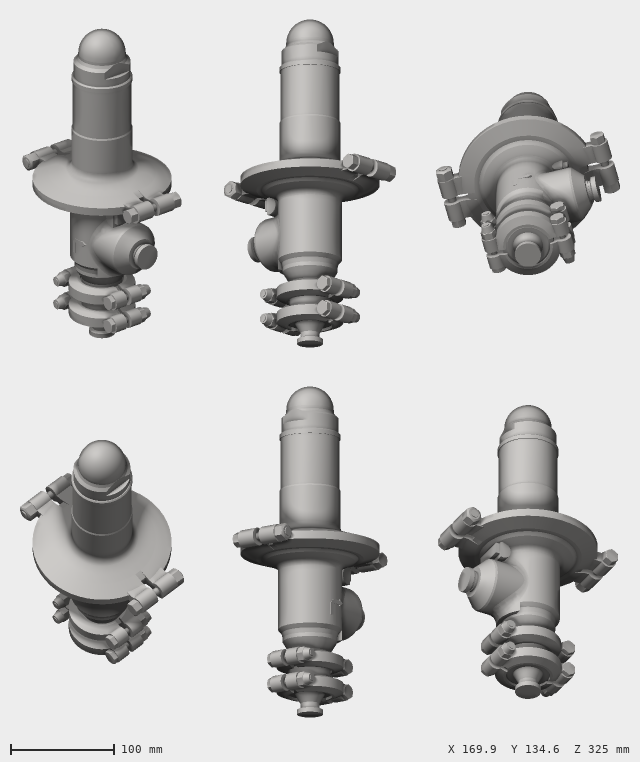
import cadquery as cq
import math


TOTAL_HEIGHT = 325.0

DOME_RADIUS = 23.0
DOME_BASE_Z = TOTAL_HEIGHT - DOME_RADIUS
NUT_CONE_TOP_Z = 299.0
NUT_CONE_BASE_Z = 293.3
NUT_SHOULDER_RADIUS = 24.6
NUT_SHOULDER_Z = 296.1
NUT_RADIUS = 27.6
NUT_FLAT_Z = 286.3
NUT_FLAT_OFFSET = DOME_RADIUS

COLLAR_RADIUS = 59.0 / 2
COLLAR_TOP_Z = 278.2
COLLAR_BASE_Z = 272.8
COLLAR_CHAMFER = 1.2
SPRING_TUBE_RADIUS = 28.7
STEP_TOP_Z = 222.9
STEP_BASE_Z = 221.2
UPPER_FILLET_RADIUS = 8.0
UPPER_FILLET_TOP_Z = 185.6
UPPER_CONE_ANGLE = math.radians(19.0)

CLAMP_Z = 163.2
CLAMP_SPAN = 169.94
CLAMP_EYE_RADIUS = 8.7
CLAMP_RADIUS = 134.55 / 2
CLAMP_RIM_HALF = 4.0
CLAMP_INNER_RADIUS = 52.0
CLAMP_INNER_HALF = 8.9
CLAMP_GAP = 7.0
LARGE_FERRULE_RADIUS = 119.0 / 2
LARGE_FERRULE_HALF = 5.2

BODY_RADIUS = 30.8
BODY_BASE_Z = 84.1
LIP_RADIUS = 47.2
LIP_CONE_RADIUS = 43.5
LIP_CONE_Z = 151.5
FLANGE_CONE_ANGLE = math.radians(25.0)
LOWER_FILLET_RADIUS = 6.0
RING_RADIUS = 53.0 / 2
RING_SHOULDER_RADIUS = 27.5
RING_TOP_Z = 80.2
RING_RIM_Z = 75.6
RING_BASE_Z = 71.8

PIPE_RADIUS = 20.0
PIPE_TOP_Z = 61.2
SMALL_CLAMP_HEIGHTS = (50.8, 26.0)
FERRULE_RADIUS = 50.5 / 2
FERRULE_EDGE_HALF = 3.8
FERRULE_ROOT_HALF = 6.2
REDUCER_TOP_RADIUS = 14.5
REDUCER_BASE_Z = 10.7
PORT_NECK_RADIUS = 9.3
PORT_FERRULE_RADIUS = 25.0 / 2
PORT_FERRULE_RIM = 4.5
PORT_FERRULE_CONE = 1.5

OUTLET_Z = 107.9
OUTLET_RADIUS = 26.3
OUTLET_CHAMFER_X = 47.5
OUTLET_CONE_X = 49.6
OUTLET_CONE_START_RADIUS = 25.6
OUTLET_CONE_END_X = 60.2
OUTLET_CONE_END_RADIUS = 15.3
OUTLET_COLLAR_X = 62.2
OUTLET_COLLAR_RADIUS = 10.0
OUTLET_END_X = 70.1
OUTLET_FILLET = 10.0
OUTLET_WEB_X = 21.0
OUTLET_WEB_BASE_Z = 74.4

LUG_X = 37.3
LUG_Z = 141.7
LUG_RADIUS = 8.6
LUG_HALF_WIDTH = 18.0
LUG_FLAT_X = 39.4
LUG_PLATE_X = 43.8
LUG_PLATE_HALF_WIDTH = 16.0
LUG_PLATE_BASE_Z = 137.8
LUG_PLATE_TOP_Z = 149.0

HEX_CHAMFER_ANGLE = math.radians(30.0)

ARROW_FACE_Y = -31.0
ARROW_STEM_LEFT = -6.5
ARROW_STEM_WIDTH = 4.2
ARROW_BASE_Z = 94.2
ARROW_HEAD_X = 7.6
ARROW_TIP_X = 11.6
ARROW_HEAD_HALF = 3.2


def revolve_z(outline):
    return outline.close().revolve(360, (0, 0, 0), (0, 1, 0))


def y_cylinder(x, z, radius, y_start, y_end):
    plane = cq.Plane(origin=(x, y_start, z), xDir=(1, 0, 0), normal=(0, 1, 0))
    return cq.Workplane(plane).circle(radius).extrude(y_end - y_start)


def hexagon(x, z, across_flats, y_start, y_end, end_chamfer_radius, point_direction):
    """Hexagonal prism along Y with a point in the given direction and its far edge turned to a cone."""
    length = y_end - y_start
    corner_radius = across_flats / math.sqrt(3)
    plane = cq.Plane(origin=(x, y_start, z), xDir=point_direction, normal=(0, 1, 0))
    prism = cq.Workplane(plane).polygon(6, 2 * corner_radius).extrude(length)
    cone_depth = (corner_radius - end_chamfer_radius) * math.tan(HEX_CHAMFER_ANGLE)
    envelope = (
        cq.Workplane("XY")
        .moveTo(0, 0)
        .lineTo(corner_radius, 0)
        .lineTo(corner_radius, length - cone_depth)
        .lineTo(end_chamfer_radius, length)
        .lineTo(0, length)
        .close()
        .revolve(360, (0, 0, 0), (0, 1, 0))
        .translate((x, y_start, z))
    )
    return prism.intersect(envelope)


def clamp_lugs(z, eye_x, eye_radius, gap, eye_end, arm_inner_x, arm_half, fastener):
    """Four eyes with arms and two bolts. The second side is the first turned half round Z."""
    side = cq.Workplane("XY")
    for direction in (-1, 1):
        y_near, y_far = sorted((direction * gap / 2, direction * eye_end))
        side = side.union(y_cylinder(eye_x, z, eye_radius, y_near, y_far))
        arm = cq.Workplane("XY").box(eye_x - arm_inner_x, y_far - y_near, 2 * arm_half)
        side = side.union(arm.translate(((eye_x + arm_inner_x) / 2, (y_near + y_far) / 2, z)))
    side = side.union(y_cylinder(eye_x, z, fastener["bolt_radius"], -eye_end, fastener["bolt_end"]))
    nut_end = fastener["nut_end"]
    nut_rim = fastener["nut_rim"]
    nut = hexagon(eye_x, z, fastener["nut_flats"], eye_end, nut_end, nut_rim, fastener["nut_point"])
    head_length = fastener["head_end"] - eye_end
    head = hexagon(eye_x, z, fastener["head_flats"], 0, head_length, fastener["head_flats"] / 2, (0, 0, 1))
    head = head.rotate((eye_x, 0, z), (eye_x, 0, z + 1), 180).translate((0, -eye_end, 0))
    side = side.union(nut).union(head)
    if "collar_end" in fastener:
        collar_plane = cq.Plane(origin=(eye_x, nut_end, z), xDir=(1, 0, 0), normal=(0, 1, 0))
        collar = (
            cq.Workplane(collar_plane)
            .circle(nut_rim)
            .workplane(offset=fastener["collar_end"] - nut_end)
            .circle(fastener["collar_end_radius"])
            .loft()
        )
        side = side.union(collar)
    return side.union(side.rotate((0, 0, 0), (0, 0, 1), 180))


def upper_housing():
    """Dome, adjuster nut, collar and spring tube, down to the middle of the large clamp."""
    turn = math.pi / 2 - UPPER_CONE_ANGLE
    fillet_end_radius = COLLAR_RADIUS + UPPER_FILLET_RADIUS * (1 - math.cos(turn))
    fillet_end_z = UPPER_FILLET_TOP_Z - UPPER_FILLET_RADIUS * math.sin(turn)
    fillet_mid_radius = COLLAR_RADIUS + UPPER_FILLET_RADIUS * (1 - math.cos(turn / 2))
    fillet_mid_z = UPPER_FILLET_TOP_Z - UPPER_FILLET_RADIUS * math.sin(turn / 2)
    dome_mid = DOME_RADIUS * math.sqrt(0.5)
    outline = (
        cq.Workplane("XZ")
        .moveTo(0, CLAMP_Z)
        .lineTo(0, TOTAL_HEIGHT)
        .threePointArc((dome_mid, DOME_BASE_Z + dome_mid), (DOME_RADIUS, DOME_BASE_Z))
        .lineTo(DOME_RADIUS, NUT_CONE_TOP_Z)
        .lineTo(NUT_SHOULDER_RADIUS, NUT_SHOULDER_Z)
        .lineTo(NUT_RADIUS, NUT_CONE_BASE_Z)
        .lineTo(NUT_RADIUS, COLLAR_TOP_Z)
        .lineTo(COLLAR_RADIUS - COLLAR_CHAMFER, COLLAR_TOP_Z)
        .lineTo(COLLAR_RADIUS, COLLAR_TOP_Z - COLLAR_CHAMFER)
        .lineTo(COLLAR_RADIUS, COLLAR_BASE_Z)
        .lineTo(SPRING_TUBE_RADIUS, COLLAR_BASE_Z)
        .lineTo(SPRING_TUBE_RADIUS, STEP_TOP_Z)
        .lineTo(COLLAR_RADIUS, STEP_BASE_Z)
        .lineTo(COLLAR_RADIUS, UPPER_FILLET_TOP_Z)
        .threePointArc((fillet_mid_radius, fillet_mid_z), (fillet_end_radius, fillet_end_z))
        .lineTo(CLAMP_INNER_RADIUS, CLAMP_Z + CLAMP_INNER_HALF)
        .lineTo(CLAMP_INNER_RADIUS, CLAMP_Z)
    )
    housing = revolve_z(outline)
    flat_depth = NUT_RADIUS - NUT_FLAT_OFFSET
    for direction in (-1, 1):
        flat = cq.Workplane("XY").box(flat_depth, 2 * NUT_RADIUS, DOME_BASE_Z - NUT_FLAT_Z)
        x_middle = direction * (NUT_FLAT_OFFSET + flat_depth / 2)
        housing = housing.cut(flat.translate((x_middle, 0, (DOME_BASE_Z + NUT_FLAT_Z) / 2)))
    return housing


def lower_housing():
    """Body cylinder between the large clamp and the pipe, with its flange cone and ring."""
    lip_z = CLAMP_Z - CLAMP_INNER_HALF
    turn = math.pi / 2 - FLANGE_CONE_ANGLE
    fillet_radius = BODY_RADIUS + LOWER_FILLET_RADIUS * (1 - math.cos(turn))
    fillet_z = LIP_CONE_Z - (LIP_CONE_RADIUS - fillet_radius) * math.tan(FLANGE_CONE_ANGLE)
    fillet_base_z = fillet_z - LOWER_FILLET_RADIUS * math.sin(turn)
    mid_radius = BODY_RADIUS + LOWER_FILLET_RADIUS * (1 - math.cos(turn / 2))
    mid_z = fillet_base_z + LOWER_FILLET_RADIUS * math.sin(turn / 2)
    outline = (
        cq.Workplane("XZ")
        .moveTo(0, CLAMP_Z)
        .lineTo(LIP_RADIUS, CLAMP_Z)
        .lineTo(LIP_RADIUS, lip_z)
        .lineTo(LIP_CONE_RADIUS, LIP_CONE_Z)
        .lineTo(fillet_radius, fillet_z)
        .threePointArc((mid_radius, mid_z), (BODY_RADIUS, fillet_base_z))
        .lineTo(BODY_RADIUS, BODY_BASE_Z)
        .lineTo(RING_SHOULDER_RADIUS, RING_TOP_Z)
        .lineTo(RING_RADIUS, RING_RIM_Z)
        .lineTo(RING_RADIUS, RING_BASE_Z)
        .lineTo(PIPE_RADIUS, PIPE_TOP_Z)
        .lineTo(0, PIPE_TOP_Z)
    )
    return revolve_z(outline)


def large_clamp():
    """Two-part band with a gap on each side, the ferrule inside it, and bolted eyes."""
    band = revolve_z(
        cq.Workplane("XZ")
        .moveTo(CLAMP_INNER_RADIUS, CLAMP_Z - CLAMP_INNER_HALF)
        .lineTo(CLAMP_RADIUS, CLAMP_Z - CLAMP_RIM_HALF)
        .lineTo(CLAMP_RADIUS, CLAMP_Z + CLAMP_RIM_HALF)
        .lineTo(CLAMP_INNER_RADIUS, CLAMP_Z + CLAMP_INNER_HALF)
    )
    gap = cq.Workplane("XY").box(2 * CLAMP_RADIUS, CLAMP_GAP, 2 * CLAMP_INNER_HALF)
    band = band.cut(gap.translate((0, 0, CLAMP_Z)))
    ferrule = revolve_z(
        cq.Workplane("XZ")
        .moveTo(0, CLAMP_Z - CLAMP_INNER_HALF)
        .lineTo(CLAMP_INNER_RADIUS, CLAMP_Z - CLAMP_INNER_HALF)
        .lineTo(LARGE_FERRULE_RADIUS, CLAMP_Z - LARGE_FERRULE_HALF)
        .lineTo(LARGE_FERRULE_RADIUS, CLAMP_Z + LARGE_FERRULE_HALF)
        .lineTo(CLAMP_INNER_RADIUS, CLAMP_Z + CLAMP_INNER_HALF)
        .lineTo(0, CLAMP_Z + CLAMP_INNER_HALF)
    )
    lugs = clamp_lugs(
        z=CLAMP_Z,
        eye_x=CLAMP_SPAN / 2 - CLAMP_EYE_RADIUS,
        eye_radius=CLAMP_EYE_RADIUS,
        gap=CLAMP_GAP,
        eye_end=22.0,
        arm_inner_x=60.5,
        arm_half=5.1,
        fastener={
            "bolt_radius": 4.0,
            "bolt_end": 33.0,
            "nut_flats": 15.0,
            "nut_end": 32.0,
            "nut_rim": 6.0,
            "nut_point": (0, 0, 1),
            "head_flats": 13.0,
            "head_end": 30.0,
        },
    )
    return band.union(ferrule).union(lugs)


def ferrule_pair(z):
    """Two mating ferrule rims, meeting at height z."""
    return revolve_z(
        cq.Workplane("XZ")
        .moveTo(0, z - FERRULE_ROOT_HALF)
        .lineTo(PIPE_RADIUS, z - FERRULE_ROOT_HALF)
        .lineTo(FERRULE_RADIUS, z - FERRULE_EDGE_HALF)
        .lineTo(FERRULE_RADIUS, z + FERRULE_EDGE_HALF)
        .lineTo(PIPE_RADIUS, z + FERRULE_ROOT_HALF)
        .lineTo(0, z + FERRULE_ROOT_HALF)
    )


def inlet():
    """Pipe, reducer cone and inlet ferrule below the housing."""
    lower_joint = SMALL_CLAMP_HEIGHTS[1]
    pipe_base = cq.Workplane("XY", origin=(0, 0, lower_joint))
    pipe = pipe_base.circle(PIPE_RADIUS).extrude(PIPE_TOP_Z - lower_joint)
    reducer_top = lower_joint - FERRULE_ROOT_HALF
    reducer = revolve_z(
        cq.Workplane("XZ")
        .moveTo(0, 0)
        .lineTo(PORT_FERRULE_RADIUS, 0)
        .lineTo(PORT_FERRULE_RADIUS, PORT_FERRULE_RIM)
        .lineTo(PORT_NECK_RADIUS, PORT_FERRULE_RIM + PORT_FERRULE_CONE)
        .lineTo(PORT_NECK_RADIUS, REDUCER_BASE_Z)
        .lineTo(REDUCER_TOP_RADIUS, reducer_top)
        .lineTo(0, reducer_top)
    )
    stack = pipe.union(reducer)
    for z in SMALL_CLAMP_HEIGHTS:
        stack = stack.union(ferrule_pair(z))
    return stack


def outlet_barrel():
    """Side barrel with its blend outside the body, and the web that carries the blend onto the ring."""
    core_height = 2 * (OUTLET_RADIUS + 2 * OUTLET_FILLET)
    core = cq.Workplane("XY").circle(BODY_RADIUS).extrude(core_height)
    core = core.translate((0, 0, OUTLET_Z - core_height / 2))
    barrel = cq.Workplane("YZ", origin=(0, 0, OUTLET_Z)).circle(OUTLET_RADIUS).extrude(OUTLET_CHAMFER_X)
    margin = 1.0
    reach = OUTLET_RADIUS + margin
    joint_box = cq.selectors.BoxSelector(
        (margin, -reach, OUTLET_Z - reach),
        (BODY_RADIUS + margin, reach, OUTLET_Z + reach),
        boundingbox=True,
    )
    blended = core.union(barrel).edges(joint_box).fillet(OUTLET_FILLET)
    below_web = cq.Workplane("XY").box(4 * BODY_RADIUS, 4 * BODY_RADIUS, OUTLET_WEB_BASE_Z)
    blended = blended.cut(below_web.translate((0, 0, OUTLET_WEB_BASE_Z / 2)))
    web_length = OUTLET_CHAMFER_X - OUTLET_WEB_X
    web_height = BODY_BASE_Z - OUTLET_WEB_BASE_Z
    web_space = cq.Workplane("XY").box(web_length, 2 * BODY_RADIUS, web_height)
    web_middle = (OUTLET_WEB_X + web_length / 2, 0, OUTLET_WEB_BASE_Z + web_height / 2)
    web = blended.intersect(web_space.translate(web_middle))
    return blended.cut(core), web


def outlet_end():
    """Cone, neck and ferrule on the end of the side outlet."""
    rim_x = OUTLET_END_X - PORT_FERRULE_RIM
    return (
        cq.Workplane("XY")
        .moveTo(OUTLET_CHAMFER_X, 0)
        .lineTo(OUTLET_CHAMFER_X, OUTLET_RADIUS)
        .lineTo(OUTLET_CONE_X, OUTLET_CONE_START_RADIUS)
        .lineTo(OUTLET_CONE_END_X, OUTLET_CONE_END_RADIUS)
        .lineTo(OUTLET_CONE_END_X, OUTLET_COLLAR_RADIUS)
        .lineTo(OUTLET_COLLAR_X, OUTLET_COLLAR_RADIUS)
        .lineTo(OUTLET_COLLAR_X, PORT_NECK_RADIUS)
        .lineTo(rim_x - PORT_FERRULE_CONE, PORT_NECK_RADIUS)
        .lineTo(rim_x, PORT_FERRULE_RADIUS)
        .lineTo(OUTLET_END_X, PORT_FERRULE_RADIUS)
        .lineTo(OUTLET_END_X, 0)
        .close()
        .revolve(360, (0, 0, 0), (1, 0, 0))
        .translate((0, 0, OUTLET_Z))
    )


def side_lug():
    """Round lug with a flat side and a thinner plate standing on the flat."""
    lug = y_cylinder(LUG_X, LUG_Z, LUG_RADIUS, -LUG_HALF_WIDTH, LUG_HALF_WIDTH)
    flat_cut = cq.Workplane("XY").box(LUG_RADIUS, 2 * LUG_HALF_WIDTH, 2 * LUG_RADIUS)
    lug = lug.cut(flat_cut.translate((LUG_FLAT_X + LUG_RADIUS / 2, 0, LUG_Z)))
    plate_length = LUG_PLATE_X - LUG_X
    plate_height = LUG_PLATE_TOP_Z - LUG_PLATE_BASE_Z
    plate = cq.Workplane("XY").box(plate_length, 2 * LUG_PLATE_HALF_WIDTH, plate_height)
    plate_middle_z = (LUG_PLATE_TOP_Z + LUG_PLATE_BASE_Z) / 2
    return lug.union(plate.translate((LUG_X + plate_length / 2, 0, plate_middle_z)))


def flow_arrow():
    """Bent arrow standing proud of the body, with a flat face."""
    stem_right = ARROW_STEM_LEFT + ARROW_STEM_WIDTH
    beam_base = OUTLET_Z - ARROW_STEM_WIDTH / 2
    beam_top = OUTLET_Z + ARROW_STEM_WIDTH / 2
    bend = ARROW_STEM_WIDTH
    return (
        cq.Workplane("XZ")
        .moveTo(ARROW_STEM_LEFT, ARROW_BASE_Z)
        .lineTo(stem_right, ARROW_BASE_Z)
        .lineTo(stem_right, beam_base)
        .lineTo(ARROW_HEAD_X, beam_base)
        .lineTo(ARROW_HEAD_X, OUTLET_Z - ARROW_HEAD_HALF)
        .lineTo(ARROW_TIP_X, OUTLET_Z)
        .lineTo(ARROW_HEAD_X, OUTLET_Z + ARROW_HEAD_HALF)
        .lineTo(ARROW_HEAD_X, beam_top)
        .lineTo(ARROW_STEM_LEFT + bend, beam_top)
        .lineTo(ARROW_STEM_LEFT, beam_top - bend)
        .close()
        .extrude(-ARROW_FACE_Y)
    )


def make_valve():
    valve = upper_housing().union(large_clamp()).union(lower_housing())
    barrel, web = outlet_barrel()
    valve = valve.union(barrel).union(web).union(outlet_end()).union(inlet())
    return valve.union(side_lug()).union(flow_arrow())


def make_small_clamp(z):
    """Two-part clamp band around a ferrule pair, with bolted eyes."""
    radius = 64.4 / 2
    rim_half = 4.9
    inner_half = 8.2
    top_radius = 24.0
    bore_radius = 21.5
    gap_width = 5.4
    band = revolve_z(
        cq.Workplane("XZ")
        .moveTo(bore_radius, z - inner_half)
        .lineTo(top_radius, z - inner_half)
        .lineTo(radius, z - rim_half)
        .lineTo(radius, z + rim_half)
        .lineTo(top_radius, z + inner_half)
        .lineTo(bore_radius, z + inner_half)
    )
    gap = cq.Workplane("XY").box(2 * radius, gap_width, 2 * inner_half).translate((0, 0, z))
    lugs = clamp_lugs(
        z=z,
        eye_x=34.2,
        eye_radius=inner_half,
        gap=gap_width,
        eye_end=15.8,
        arm_inner_x=26.0,
        arm_half=rim_half,
        fastener={
            "bolt_radius": 3.0,
            "bolt_end": 30.0,
            "nut_flats": 13.0,
            "nut_end": 23.0,
            "nut_rim": 12.49 / 2,
            "nut_point": (1, 0, 0),
            "collar_end": 29.2,
            "collar_end_radius": 9.44 / 2,
            "head_flats": 13.0,
            "head_end": 20.7,
        },
    )
    return band.cut(gap).cut(ferrule_pair(z)).union(lugs)


valve = make_valve()
small_clamps = [make_small_clamp(z) for z in SMALL_CLAMP_HEIGHTS]
clamp_solids = [clamp.solids().val() for clamp in small_clamps]
result = cq.Compound.makeCompound([valve.solids().val(), *clamp_solids])